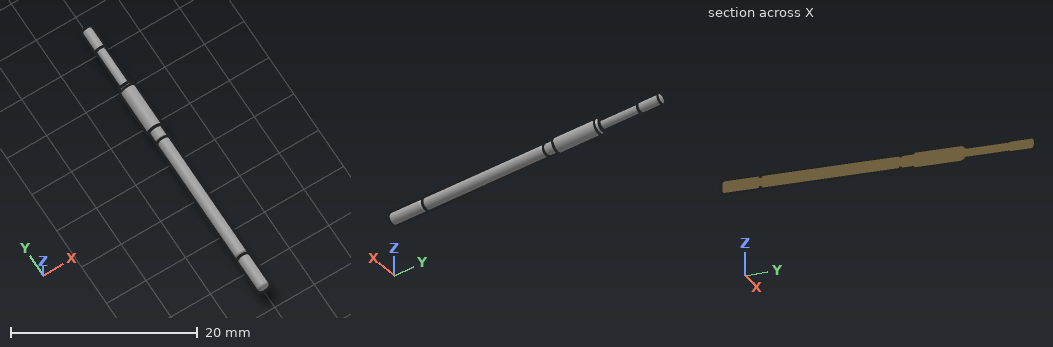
import cadquery as cq
import math

total_length = 36.0
head_end = 3.0
collar_start = 8.0
collar_end = 14.0
front_crimp_position = 15.45
rear_crimp_position = 31.5

head_radius = 0.7
stem_radius = 0.62
collar_radius = 1.0
barrel_radius = 0.825

dome_height = 0.25
collar_bevel_length = 0.45
collar_front_radius = 0.8
rear_rounding = 0.38

front_crimp_half_width = 0.22
front_crimp_depth = 0.15
rear_crimp_half_width = 0.3
rear_crimp_depth = 0.28

tip_y = total_length / 2


def at(radius, distance):
    """Profile point at a radius and a distance behind the plunger tip."""
    return (radius, tip_y - distance)


def add_crimp(profile, position, half_width, depth):
    """Run along the barrel and roll a crimp into it, lips tangent to the barrel."""
    lip_radius = (half_width**2 + depth**2) / (2 * depth)
    half_angle = math.asin(half_width / lip_radius) / 2
    mid_offset = lip_radius * math.sin(half_angle)
    mid_radius = barrel_radius - lip_radius * (1 - math.cos(half_angle))
    lip_start = position - half_width
    lip_end = position + half_width
    valley = at(barrel_radius - depth, position)
    profile = profile.lineTo(*at(barrel_radius, lip_start))
    profile = profile.threePointArc(at(mid_radius, lip_start + mid_offset), valley)
    return profile.threePointArc(at(mid_radius, lip_end - mid_offset), at(barrel_radius, lip_end))


def plunger_profile(profile):
    """Domed head and the slimmer stem, up to the collar."""
    dome_sphere_radius = (head_radius**2 + dome_height**2) / (2 * dome_height)
    half_angle = math.asin(head_radius / dome_sphere_radius) / 2
    mid_radius = dome_sphere_radius * math.sin(half_angle)
    mid_height = dome_sphere_radius * (1 - math.cos(half_angle))
    return (
        profile.moveTo(*at(0, 0))
        .threePointArc(at(mid_radius, mid_height), at(head_radius, dome_height))
        .lineTo(*at(head_radius, head_end))
        .lineTo(*at(stem_radius, head_end))
        .lineTo(*at(stem_radius, collar_start))
    )


def collar_profile(profile):
    """Bevelled collar, ending on the barrel surface."""
    return (
        profile.lineTo(*at(collar_front_radius, collar_start))
        .lineTo(*at(collar_radius, collar_start + collar_bevel_length))
        .lineTo(*at(collar_radius, collar_end))
        .lineTo(*at(barrel_radius, collar_end))
    )


def barrel_profile(profile):
    """Barrel with its two crimps and rounded rear end, closed along the axis."""
    profile = add_crimp(profile, front_crimp_position, front_crimp_half_width, front_crimp_depth)
    profile = add_crimp(profile, rear_crimp_position, rear_crimp_half_width, rear_crimp_depth)
    rounding_inset = rear_rounding * (1 - math.sqrt(0.5))
    return (
        profile.lineTo(*at(barrel_radius, total_length - rear_rounding))
        .threePointArc(
            at(barrel_radius - rounding_inset, total_length - rounding_inset),
            at(barrel_radius - rear_rounding, total_length),
        )
        .lineTo(*at(0, total_length))
        .close()
    )


half_section = barrel_profile(collar_profile(plunger_profile(cq.Workplane("XY"))))
result = half_section.revolve(360, (0, 0, 0), (0, 1, 0))